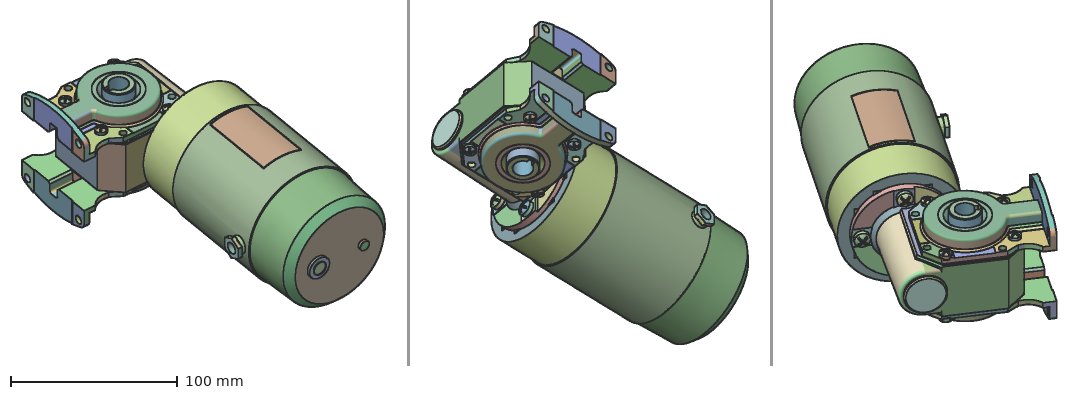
import cadquery as cq
import math


AXIS_OFFSET = 31.0
FOOT_BASE = -50.0

MOTOR_FRONT = 35.8
MOTOR_BODY_START = 66.0
MOTOR_BODY_END = 140.2
MOTOR_BACK = 176.4
FRONT_RADIUS = 40.0
BODY_RADIUS = 41.0
BACK_START_RADIUS = 40.0
BACK_END_RADIUS = 38.8
BACK_CHAMFER = 5.2
LABEL_START = 67.9
LABEL_LENGTH = 52.5
LABEL_WIDTH = 28.4
LABEL_THICKNESS = 0.5

GLAND_X = 131.1
GLAND_STEM_RADIUS = 5.9
GLAND_NUT_FLATS = 13.4
GLAND_NUT_THICKNESS = 2.9
GLAND_TIP = -16.0
GLAND_HOLE_RADIUS = 3.8
BACK_KNOB_Y = 48.7
BACK_KNOB_RADIUS = 3.4
BACK_KNOB_HEIGHT = 2.0
BACK_PLUG_Y = 14.3
BACK_PLUG_RADIUS = 7.6
BACK_PLUG_RIM = 2.0
BACK_PLUG_HEIGHT = 2.6
BACK_PLUG_TOP_RADIUS = 4.6

FLANGE_FACE = 31.0
FLANGE_LOWER_FACE = 32.7
FLANGE_RADIUS = 32.4
FLANGE_PAD_WIDTH = 13.0
FLANGE_PAD_HEIGHT = 0.3
BACKING_PLATE_LONG = 59.2
BACKING_PLATE_SHORT = 36.2
BACKING_PLATE_THICKNESS = 0.6
FLANGE_SCREW_CIRCLE = 26.2
FLANGE_SCREW_RADIUS = 5.0
FLANGE_SCREW_HEIGHT = 4.8
FLANGE_SCREW_ANGLES = (0, 90, -90)

HOUSING_LEFT = -32.5
HOUSING_LEFT_RADIUS = 16.4
HOUSING_RIGHT_RADIUS = 17.9
HOUSING_NOSE_FILLET = 1.7
HOUSING_FLARE_START = 27.5
HOUSING_FLARE_RADIUS = 20.8
WORM_CAP_RADIUS = 13.4
WORM_CAP_HEIGHT = 2.0
WORM_CAP_CHAMFER = 1.0

BLOCK_HALF_WIDTH = 32.5
BLOCK_HALF_HEIGHT = 19.0
BLOCK_BOTTOM = -32.0
BLOCK_TOP = 34.3
BLOCK_LOWER_CUT = 12.0
BLOCK_UPPER_CUT = 13.5
BLOCK_UPPER_CHAMFER = 1.2
BLOCK_EDGE_CHAMFER = 0.5

COVER_HALF_WIDTH = 30.4
COVER_TOP = 30.4
COVER_UPPER_CUT = 10.0
COVER_THICKNESS = 3.8
COVER_SHOULDER_Y = -20.0
WAIST_HALF_WIDTH = 25.7
WAIST_Y = -27.3
WAIST_ARC_START_X = 25.3
WAIST_ARC_START_Y = -31.3
WAIST_ARC_MID_X = 26.5
WAIST_ARC_MID_Y = -36.5
ANKLE_Y = -41.5
PAD_INNER_X = 12.4
PAD_INNER_Y = 12.6
PAD_HEIGHT = 0.4
COVER_FIXING_CIRCLE = 32.1
COVER_FIXING_ANGLE = 57.0
COVER_SCREW_RADIUS = 3.9
COVER_SCREW_HEIGHT = 3.1
COVER_HOLE_RADIUS = 2.3

BOSS_FACE = 31.0
BOSS_RADIUS = 25.4
BOSS_TOP_FILLET = 1.7
BOSS_BASE_FLARE = 1.5
BOSS_BASE_BEVEL = 1.2
RIB_HALF_WIDTH = 7.0
RIB_CORNER_FILLET = 2.0

FOOT_HALF_WIDTH = 30.5
FOOT_THICKNESS = 4.2
FOOT_REACH = 39.4
FOOT_ARC_RADIUS = 70.0
FOOT_CORNER_FILLET = 4.5
FOOT_RELIEF_HALF_WIDTH = 18.7
FOOT_RELIEF_DEPTH = 0.5
FOOT_HOLE_X = 25.0
FOOT_HOLE_Z = 29.5
FOOT_HOLE_RADIUS = 2.75
CHANNEL_WIDTH = 7.3
CHANNEL_TOP = 27.2
CHANNEL_FILLET = 1.5
CHANNEL_MOUTH_FLARE = 1.5

SEAL_RADIUS = 16.3
SEAL_DEPTH = 0.4
SEAL_LIP_RADIUS = 13.1
SEAL_LIP_DEPTH = 4.0
SHAFT_RADIUS = 10.2
SHAFT_HALF_LENGTH = 35.0
SHAFT_CHAMFER = 0.6
BORE_RADIUS = 6.3
KEYWAY_WIDTH = 4.0
KEYWAY_DEPTH_Y = -8.2

OVERLAP = 1.0


def x_cylinder(radius, start, end, y=AXIS_OFFSET, z=0.0):
    """Cylinder along X from start to end."""
    return cq.Workplane("YZ", origin=(start, y, z)).circle(radius).extrude(end - start)


def revolved_about_motor_axis(points):
    """Solid of revolution about the motor axis from (x, radius) points."""
    axis_points = [(x, AXIS_OFFSET + radius) for x, radius in points]
    profile = cq.Workplane("XY").polyline(axis_points).close()
    return profile.revolve(360, (0, AXIS_OFFSET, 0), (1, AXIS_OFFSET, 0))


def both_sides(upper):
    """The upper solid together with its mirror image below Z = 0."""
    return upper.union(upper.mirror("XY"))


def pan_head(radius, height):
    """Cross-recessed screw head on the XY plane, reaching slightly below it."""
    rim = 0.6 * height
    dome_radius = 0.65 * radius
    dome_height = 0.86 * height
    head = (
        cq.Workplane("XZ")
        .moveTo(0, -OVERLAP)
        .lineTo(radius, -OVERLAP)
        .lineTo(radius, rim)
        .threePointArc((dome_radius, dome_height), (0, height))
        .close()
        .revolve(360, (0, 0, 0), (0, 1, 0))
    )
    slot_length = 1.4 * radius
    slot_width = 0.22 * radius
    slot_depth = 0.5 * height
    for angle in (45, 135):
        slot = cq.Workplane("XY").box(slot_length, slot_width, 2 * slot_depth)
        head = head.cut(slot.rotate((0, 0, 0), (0, 0, 1), angle).translate((0, 0, height)))
    return head


def motor():
    body = revolved_about_motor_axis([
        (MOTOR_FRONT - OVERLAP, 0),
        (MOTOR_FRONT - OVERLAP, FLANGE_RADIUS),
        (MOTOR_FRONT, FLANGE_RADIUS),
        (MOTOR_FRONT, FRONT_RADIUS),
        (MOTOR_BODY_START, FRONT_RADIUS),
        (MOTOR_BODY_START, BODY_RADIUS),
        (MOTOR_BODY_END, BODY_RADIUS),
        (MOTOR_BODY_END, BACK_START_RADIUS),
        (MOTOR_BACK - BACK_CHAMFER, BACK_END_RADIUS),
        (MOTOR_BACK, BACK_END_RADIUS - BACK_CHAMFER),
        (MOTOR_BACK, 0),
    ])
    knob = x_cylinder(BACK_KNOB_RADIUS, MOTOR_BACK - OVERLAP, MOTOR_BACK + BACK_KNOB_HEIGHT, BACK_KNOB_Y)
    plug = x_cylinder(BACK_PLUG_RADIUS, MOTOR_BACK - OVERLAP, MOTOR_BACK + BACK_PLUG_RIM, BACK_PLUG_Y)
    plug_top = x_cylinder(
        BACK_PLUG_TOP_RADIUS, MOTOR_BACK - OVERLAP, MOTOR_BACK + BACK_PLUG_HEIGHT, BACK_PLUG_Y
    )
    return body.union(label()).union(knob).union(plug).union(plug_top).union(cable_gland())


def label():
    """Thin plate wrapped on top of the motor body."""
    label_end = LABEL_START + LABEL_LENGTH
    shell = x_cylinder(BODY_RADIUS + LABEL_THICKNESS, LABEL_START, label_end)
    shell = shell.cut(x_cylinder(BODY_RADIUS - OVERLAP, LABEL_START, label_end))
    window = cq.Workplane("XY", origin=(LABEL_START + LABEL_LENGTH / 2, AXIS_OFFSET, 0))
    window = window.rect(LABEL_LENGTH, LABEL_WIDTH).extrude(2 * BODY_RADIUS)
    return shell.intersect(window)


def cable_gland():
    """Round stem carrying a hexagon nut with a blind hole, pointing along -Y."""
    plane = cq.Workplane("XZ", origin=(GLAND_X, GLAND_TIP, 0))
    stem_length = AXIS_OFFSET - BODY_RADIUS - GLAND_TIP + OVERLAP
    stem = plane.circle(GLAND_STEM_RADIUS).extrude(-stem_length)
    corner_diameter = GLAND_NUT_FLATS / math.cos(math.radians(30))
    nut = plane.transformed(rotate=(0, 0, 30)).polygon(6, corner_diameter).extrude(-GLAND_NUT_THICKNESS)
    hole = plane.circle(GLAND_HOLE_RADIUS).extrude(OVERLAP - stem_length)
    return stem.union(nut).cut(hole)


def about_motor_axis(shape, angle):
    """The shape turned about the motor axis."""
    return shape.rotate((0, AXIS_OFFSET, 0), (1, AXIS_OFFSET, 0), angle)


def motor_flange():
    """Round flange with three screwed pads on its +Y half and a backing plate against the motor."""
    pad_face = FLANGE_FACE - FLANGE_PAD_HEIGHT
    flange = x_cylinder(FLANGE_RADIUS, pad_face, MOTOR_FRONT)
    size = 4 * FLANGE_RADIUS

    pad_plane = cq.Workplane("YZ", origin=(pad_face, AXIS_OFFSET, 0))
    sunk = pad_plane.rect(size, size).extrude(FLANGE_PAD_HEIGHT)
    pad = pad_plane.center(size / 4, 0).rect(size / 2, FLANGE_PAD_WIDTH).extrude(FLANGE_PAD_HEIGHT)
    for angle in FLANGE_SCREW_ANGLES:
        sunk = sunk.cut(about_motor_axis(pad, angle))
    flange = flange.cut(sunk)

    lower_part_top = AXIS_OFFSET - FLANGE_PAD_WIDTH / 2
    lower_part = cq.Workplane("YZ", origin=(FLANGE_LOWER_FACE, lower_part_top - size / 2, 0))
    flange = flange.cut(lower_part.rect(size, size).extrude(-size))

    screw = pan_head(FLANGE_SCREW_RADIUS, FLANGE_SCREW_HEIGHT).rotate((0, 0, 0), (0, 1, 0), -90)
    screw = screw.translate((pad_face, AXIS_OFFSET + FLANGE_SCREW_CIRCLE, 0))
    for angle in FLANGE_SCREW_ANGLES:
        flange = flange.union(about_motor_axis(screw, angle))

    backing = cq.Workplane("YZ", origin=(MOTOR_FRONT, AXIS_OFFSET, 0))
    for width, height in (
        (BACKING_PLATE_LONG, BACKING_PLATE_SHORT),
        (BACKING_PLATE_SHORT, BACKING_PLATE_LONG),
    ):
        flange = flange.union(backing.rect(width, height).extrude(-BACKING_PLATE_THICKNESS))
    return flange


def worm_housing():
    housing = revolved_about_motor_axis([
        (HOUSING_LEFT, 0),
        (HOUSING_LEFT, HOUSING_LEFT_RADIUS),
        (HOUSING_FLARE_START, HOUSING_RIGHT_RADIUS),
        (FLANGE_FACE, HOUSING_FLARE_RADIUS),
        (FLANGE_FACE + OVERLAP, HOUSING_FLARE_RADIUS),
        (FLANGE_FACE + OVERLAP, 0),
    ])
    housing = housing.faces("<X").edges().fillet(HOUSING_NOSE_FILLET)
    walls = (
        cq.Workplane("XZ")
        .moveTo(HOUSING_LEFT, -HOUSING_LEFT_RADIUS)
        .lineTo(HOUSING_LEFT, HOUSING_LEFT_RADIUS)
        .lineTo(HOUSING_FLARE_START, HOUSING_RIGHT_RADIUS)
        .lineTo(HOUSING_FLARE_START, -HOUSING_RIGHT_RADIUS)
        .close()
        .extrude(-AXIS_OFFSET)
    )
    housing = housing.union(walls.edges("|Y and <X").fillet(HOUSING_NOSE_FILLET))
    cap = x_cylinder(WORM_CAP_RADIUS, HOUSING_LEFT - WORM_CAP_HEIGHT, HOUSING_LEFT + OVERLAP)
    return housing.union(cap.faces("<X").chamfer(WORM_CAP_CHAMFER))


def gear_block():
    right_top = FLANGE_FACE + OVERLAP
    outline = [
        (-BLOCK_HALF_WIDTH, BLOCK_BOTTOM + BLOCK_LOWER_CUT),
        (-BLOCK_HALF_WIDTH + BLOCK_LOWER_CUT, BLOCK_BOTTOM),
        (BLOCK_HALF_WIDTH - BLOCK_LOWER_CUT, BLOCK_BOTTOM),
        (BLOCK_HALF_WIDTH, BLOCK_BOTTOM + BLOCK_LOWER_CUT),
        (BLOCK_HALF_WIDTH, BLOCK_TOP - BLOCK_UPPER_CUT),
        (right_top, BLOCK_TOP - BLOCK_UPPER_CUT),
        (right_top, BLOCK_TOP),
        (-BLOCK_HALF_WIDTH + BLOCK_UPPER_CUT, BLOCK_TOP),
        (-BLOCK_HALF_WIDTH, BLOCK_TOP - BLOCK_UPPER_CUT),
    ]
    block = cq.Workplane("XY").workplane(offset=-BLOCK_HALF_HEIGHT)
    block = block.polyline(outline).close().extrude(2 * BLOCK_HALF_HEIGHT)
    reach = 2 * BLOCK_HALF_WIDTH
    step_y = BLOCK_TOP - BLOCK_UPPER_CUT
    for side in (-BLOCK_HALF_HEIGHT, BLOCK_HALF_HEIGHT):
        low_z = side - OVERLAP
        high_z = side + OVERLAP
        upper_edges = cq.selectors.BoxSelector(
            (-reach, step_y + OVERLAP, low_z), (FLANGE_FACE - OVERLAP, reach, high_z)
        )
        lower_edges = cq.selectors.BoxSelector((-reach, -reach, low_z), (reach, step_y - OVERLAP, high_z))
        block = block.edges(upper_edges).chamfer(BLOCK_UPPER_CHAMFER)
        block = block.edges(lower_edges).chamfer(BLOCK_EDGE_CHAMFER)
    return block


def cover_plate():
    base = BLOCK_HALF_HEIGHT
    thickness = COVER_THICKNESS
    plate = (
        cq.Workplane("XY", origin=(0, 0, base))
        .moveTo(COVER_HALF_WIDTH - COVER_UPPER_CUT, COVER_TOP)
        .lineTo(COVER_HALF_WIDTH, COVER_TOP - COVER_UPPER_CUT)
        .lineTo(COVER_HALF_WIDTH, COVER_SHOULDER_Y)
        .lineTo(WAIST_HALF_WIDTH, WAIST_Y)
        .lineTo(WAIST_ARC_START_X, WAIST_ARC_START_Y)
        .threePointArc((WAIST_ARC_MID_X, WAIST_ARC_MID_Y), (FOOT_HALF_WIDTH, ANKLE_Y))
        .lineTo(FOOT_HALF_WIDTH, FOOT_BASE)
        .lineTo(-FOOT_HALF_WIDTH, FOOT_BASE)
        .lineTo(-FOOT_HALF_WIDTH, ANKLE_Y)
        .threePointArc((-WAIST_ARC_MID_X, WAIST_ARC_MID_Y), (-WAIST_ARC_START_X, WAIST_ARC_START_Y))
        .lineTo(-WAIST_HALF_WIDTH, WAIST_Y)
        .lineTo(-COVER_HALF_WIDTH, COVER_SHOULDER_Y)
        .lineTo(-COVER_HALF_WIDTH, COVER_TOP - COVER_UPPER_CUT)
        .lineTo(-COVER_HALF_WIDTH + COVER_UPPER_CUT, COVER_TOP)
        .close()
        .extrude(thickness)
    )
    field_floor = base + thickness - PAD_HEIGHT
    field = cq.Workplane("XY", origin=(0, 0, field_floor))
    upright = field.rect(2 * PAD_INNER_X, 4 * COVER_HALF_WIDTH).extrude(PAD_HEIGHT)
    crossbar = field.rect(4 * COVER_HALF_WIDTH, 2 * PAD_INNER_Y).extrude(PAD_HEIGHT)
    return plate.cut(upright).cut(crossbar)


def boss_outline(grow):
    """Round boss with a rib towards the foot, widened all round by `grow`, as a flat sketch."""
    half_width = RIB_HALF_WIDTH + grow
    sketch = cq.Sketch().circle(BOSS_RADIUS + grow)
    rib_length = -FOOT_BASE
    sketch = sketch.push([(0, FOOT_BASE / 2)]).rect(2 * half_width, rib_length).clean().reset()
    junction_y = -math.sqrt((BOSS_RADIUS + grow) ** 2 - half_width ** 2)
    corners = sketch.vertices(
        cq.selectors.BoxSelector(
            (-half_width - OVERLAP, junction_y - OVERLAP, -OVERLAP),
            (half_width + OVERLAP, junction_y + OVERLAP, OVERLAP),
        )
    )
    return corners.fillet(RIB_CORNER_FILLET).reset()


def bearing_boss():
    base = BLOCK_HALF_HEIGHT
    boss = cq.Workplane("XY", origin=(0, 0, base)).placeSketch(boss_outline(0)).extrude(BOSS_FACE - base)
    boss = boss.faces(">Z").edges("not <Y").fillet(BOSS_TOP_FILLET)
    skirt_height = COVER_THICKNESS - PAD_HEIGHT + BOSS_BASE_FLARE
    lower = cq.Workplane("XY", origin=(0, 0, base)).placeSketch(boss_outline(BOSS_BASE_FLARE))
    lower = lower.extrude(skirt_height)
    lower = lower.faces(">Z").edges("not <Y").chamfer(BOSS_BASE_BEVEL)
    return boss.union(lower)


def foot_flange():
    corner_z = FOOT_REACH - FOOT_ARC_RADIUS + math.sqrt(FOOT_ARC_RADIUS ** 2 - FOOT_HALF_WIDTH ** 2)
    foot = (
        cq.Workplane("XZ", origin=(0, FOOT_BASE, 0))
        .moveTo(-FOOT_HALF_WIDTH, BLOCK_HALF_HEIGHT)
        .lineTo(-FOOT_HALF_WIDTH, corner_z)
        .threePointArc((0, FOOT_REACH), (FOOT_HALF_WIDTH, corner_z))
        .lineTo(FOOT_HALF_WIDTH, BLOCK_HALF_HEIGHT)
        .close()
        .extrude(-FOOT_THICKNESS)
    )
    top_corners = cq.selectors.BoxSelector(
        (-2 * FOOT_HALF_WIDTH, FOOT_BASE, corner_z - OVERLAP),
        (2 * FOOT_HALF_WIDTH, FOOT_BASE + FOOT_THICKNESS, corner_z + OVERLAP),
    )
    return foot.edges("|Y").edges(top_corners).fillet(FOOT_CORNER_FILLET)


def foot_cuts():
    """Relief in the mounting face, channel under the rib and two mounting holes."""
    face = cq.Workplane("XZ", origin=(0, FOOT_BASE, 0))
    relief = face.rect(2 * FOOT_RELIEF_HALF_WIDTH, 2 * FOOT_REACH).extrude(-FOOT_RELIEF_DEPTH)
    holes = face.pushPoints([(-FOOT_HOLE_X, FOOT_HOLE_Z), (FOOT_HOLE_X, FOOT_HOLE_Z)])
    holes = holes.circle(FOOT_HOLE_RADIUS).extrude(-FOOT_THICKNESS)
    length = FOOT_BASE - BLOCK_BOTTOM
    channel = face.rect(CHANNEL_WIDTH, 2 * CHANNEL_TOP).extrude(length)
    channel = channel.edges("|Y").fillet(CHANNEL_FILLET)
    mouth_half_width = CHANNEL_WIDTH / 2 + CHANNEL_MOUTH_FLARE
    mouth = (
        face.moveTo(-mouth_half_width, BLOCK_HALF_HEIGHT)
        .lineTo(mouth_half_width, BLOCK_HALF_HEIGHT)
        .lineTo(CHANNEL_WIDTH / 2, BLOCK_HALF_HEIGHT + CHANNEL_MOUTH_FLARE)
        .lineTo(-CHANNEL_WIDTH / 2, BLOCK_HALF_HEIGHT + CHANNEL_MOUTH_FLARE)
        .close()
        .extrude(length)
    )
    return relief.union(holes).union(channel).union(mouth)


def seal_recess():
    """Shallow seat for the shaft seal with a conical lip inside it."""
    seat = cq.Workplane("XY", origin=(0, 0, BOSS_FACE)).circle(SEAL_RADIUS).extrude(-SEAL_DEPTH)
    lip = (
        cq.Workplane("XZ")
        .moveTo(0, BOSS_FACE)
        .lineTo(SEAL_LIP_RADIUS, BOSS_FACE)
        .lineTo(SEAL_LIP_RADIUS, BOSS_FACE - SEAL_DEPTH)
        .lineTo(SHAFT_RADIUS, BOSS_FACE - SEAL_LIP_DEPTH)
        .lineTo(0, BOSS_FACE - SEAL_LIP_DEPTH)
        .close()
        .revolve(360, (0, 0, 0), (0, 1, 0))
    )
    return seat.union(lip)


def side_cover():
    steep = math.radians(COVER_FIXING_ANGLE)
    near = COVER_FIXING_CIRCLE * math.cos(steep)
    far = COVER_FIXING_CIRCLE * math.sin(steep)
    screw_places = [(-far, near), (far, near), (-near, -far), (near, -far)]
    hole_places = [(-near, far), (near, far), (-far, -near), (far, -near)]
    cover = cover_plate().union(bearing_boss()).union(foot_flange())
    cover = cover.cut(foot_cuts()).cut(seal_recess())
    holes = cq.Workplane("XY", origin=(0, 0, BLOCK_HALF_HEIGHT)).pushPoints(hole_places)
    cover = cover.cut(holes.circle(COVER_HOLE_RADIUS).extrude(COVER_THICKNESS))
    screw = pan_head(COVER_SCREW_RADIUS, COVER_SCREW_HEIGHT)
    for x, y in screw_places:
        cover = cover.union(screw.translate((x, y, BLOCK_HALF_HEIGHT + COVER_THICKNESS)))
    return cover


def output_shaft():
    shaft = cq.Workplane("XY", origin=(0, 0, -SHAFT_HALF_LENGTH))
    shaft = shaft.circle(SHAFT_RADIUS).extrude(2 * SHAFT_HALF_LENGTH)
    return shaft.faces("<Z or >Z").chamfer(SHAFT_CHAMFER)


def shaft_bore():
    plane = cq.Workplane("XY", origin=(0, 0, -SHAFT_HALF_LENGTH))
    bore = plane.circle(BORE_RADIUS).extrude(2 * SHAFT_HALF_LENGTH)
    keyway = plane.center(0, KEYWAY_DEPTH_Y / 2).rect(KEYWAY_WIDTH, -KEYWAY_DEPTH_Y)
    return bore.union(keyway.extrude(2 * SHAFT_HALF_LENGTH))


gearbox = gear_block().union(worm_housing()).union(both_sides(side_cover())).union(output_shaft())
result = gearbox.union(motor_flange()).union(motor()).cut(shaft_bore())